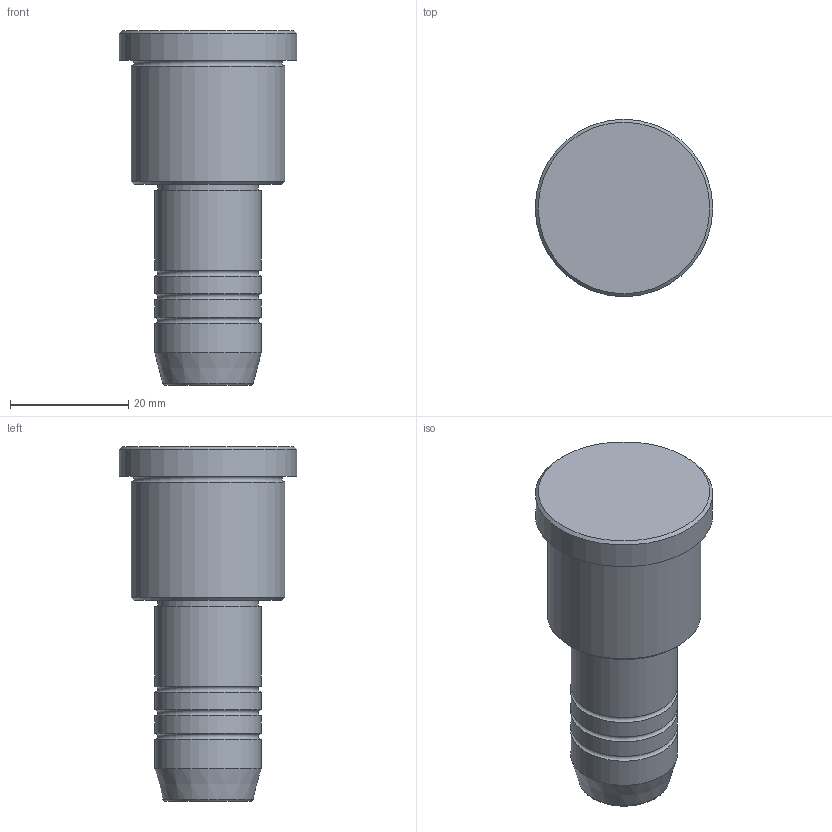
import cadquery as cq
import math

total_height = 60.0

head_radius = 15.0
head_height = 5.0
head_chamfer = 0.5

body_radius = 13.0
body_height = 21.0
body_chamfer = 0.5

pin_radius = 9.0
neck_radius = 8.5
neck_height = 1.0
taper_height = 5.5
taper_angle = 15.0
tip_fillet = 0.5

groove_radius = 0.5
pin_groove_count = 3
pin_groove_pitch = 4.0
lowest_pin_groove_height = 11.0

head_bottom = total_height - head_height
body_bottom = head_bottom - body_height
pin_shoulder = body_bottom - neck_height
tip_radius = pin_radius - taper_height * math.tan(math.radians(taper_angle))


def revolve_about_z(profile):
    """Close a radius-height profile and turn it around the Z axis."""
    return profile.close().revolve(360, (0, 0, 0), (0, 1, 0))


def make_blank():
    """Tapered pin, neck, body and head, without grooves or the rounded tip edge."""
    profile = (
        cq.Workplane("XZ")
        .moveTo(0, 0)
        .lineTo(tip_radius, 0)
        .lineTo(pin_radius, taper_height)
        .lineTo(pin_radius, pin_shoulder)
        .lineTo(neck_radius, pin_shoulder)
        .lineTo(neck_radius, body_bottom)
        .lineTo(body_radius - body_chamfer, body_bottom)
        .lineTo(body_radius, body_bottom + body_chamfer)
        .lineTo(body_radius, head_bottom)
        .lineTo(head_radius, head_bottom)
        .lineTo(head_radius, total_height - head_chamfer)
        .lineTo(head_radius - head_chamfer, total_height)
        .lineTo(0, total_height)
    )
    return revolve_about_z(profile)


def make_groove(cylinder_radius, center_height):
    """Ring of semicircular section that cuts a groove into a cylinder."""
    profile = (
        cq.Workplane("XZ")
        .moveTo(cylinder_radius, center_height - groove_radius)
        .threePointArc(
            (cylinder_radius - groove_radius, center_height),
            (cylinder_radius, center_height + groove_radius),
        )
    )
    return revolve_about_z(profile)


def round_tip(part):
    """Round the edge where the taper meets the flat end of the pin."""
    return part.faces("<Z").edges().fillet(tip_fillet)


result = round_tip(make_blank())
result = result.cut(make_groove(body_radius, head_bottom - groove_radius))
for index in range(pin_groove_count):
    groove_height = lowest_pin_groove_height + index * pin_groove_pitch
    result = result.cut(make_groove(pin_radius, groove_height))